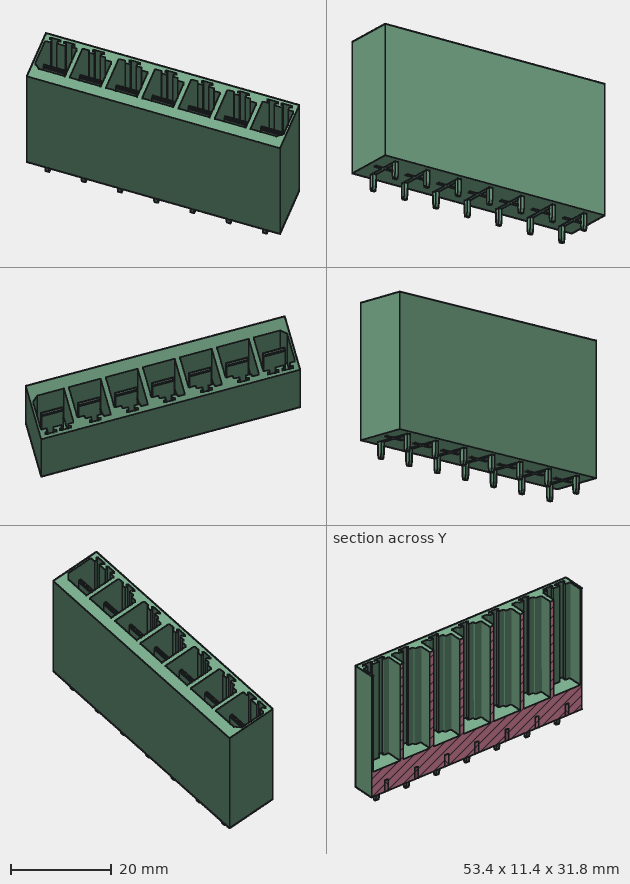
import cadquery as cq

HOUSING_LENGTH = 53.35
HOUSING_WIDTH = 11.4
HOUSING_HEIGHT = 28.3

POLE_COUNT = 7
POLE_PITCH = 7.65

CAVITY_WIDTH = 6.55
CAVITY_DEPTH = 22.4
CAVITY_FRONT = -3.15
CAVITY_BACK = 3.95
CORNER_RADIUS = 0.24

SHOULDER_Y = 3.3
SHOULDER_X = 1.8
POCKET_BACK = 4.5
POCKET_X = -1.8

OUTER_SHOULDER_Y = 3.8
INNER_SHOULDER_Y = 4.1
END_SLOT_OFFSET = 1.5
END_CHAMFER_X = 1.2
END_CHAMFER_Y = 1.0
END_INNER_SIDE = 3.35

SLOT_STEM_WIDTH = 1.3
SLOT_HEAD_WIDTH = 2.3
SLOT_HEAD_FRONT = 4.55
SLOT_HEAD_BACK = 4.95
SLOT_HEAD_RADIUS = 0.185

BLADE_WIDTH = 4.45
BLADE_THICKNESS = 0.75
BLADE_TIP_DEPTH = 2.85
BLADE_TIP_THICKNESS = 0.45
BLADE_TIP_TAPER = 0.3
FOOT_HEIGHT = 2.65
PIN_THICKNESS = 0.8
PIN_WIDTH = 0.95
PIN_SPACING = POLE_PITCH
PIN_LENGTH = 3.45
PIN_TIP_LENGTH = 0.95
PIN_TIP_WIDTH = 0.55

CAVITY_FLOOR = HOUSING_HEIGHT - CAVITY_DEPTH
CAVITY_SIDE = CAVITY_WIDTH / 2
POLE_POSITIONS = [(i - (POLE_COUNT - 1) / 2) * POLE_PITCH for i in range(POLE_COUNT)]


def cavity_prism(points):
    """Prism over an XY outline, from the cavity floor to the housing top."""
    return cq.Workplane("XY").workplane(offset=CAVITY_FLOOR).polyline(points).close().extrude(CAVITY_DEPTH)


def cavity_block(x_min, x_max, y_min, y_max):
    """Rectangular prism of cavity depth."""
    return cavity_prism([(x_min, y_min), (x_max, y_min), (x_max, y_max), (x_min, y_max)])


def round_corners(prism, corners):
    """Round the vertical edge of a prism nearest to each (x, y) corner."""
    for x, y in corners:
        corner = cq.selectors.NearestToPointSelector((x, y, CAVITY_FLOOR + CAVITY_DEPTH / 2))
        prism = prism.edges("|Z").edges(corner).fillet(CORNER_RADIUS)
    return prism


def t_slot(x):
    """T-shaped keyway centred on x, reaching into the back wall."""
    stem = cavity_block(x - SLOT_STEM_WIDTH / 2, x + SLOT_STEM_WIDTH / 2, SHOULDER_Y, SLOT_HEAD_BACK)
    head = cavity_block(x - SLOT_HEAD_WIDTH / 2, x + SLOT_HEAD_WIDTH / 2, SLOT_HEAD_FRONT, SLOT_HEAD_BACK)
    return stem.union(head.edges("|Z").fillet(SLOT_HEAD_RADIUS))


def inner_cavity():
    """Cavity with a coding pocket, one central T-slot and a low shoulder."""
    room = cavity_prism([
        (-CAVITY_SIDE, CAVITY_FRONT),
        (CAVITY_SIDE, CAVITY_FRONT),
        (CAVITY_SIDE, SHOULDER_Y),
        (SHOULDER_X, SHOULDER_Y),
        (SHOULDER_X, CAVITY_BACK),
        (POCKET_X, CAVITY_BACK),
        (POCKET_X, POCKET_BACK),
        (-CAVITY_SIDE, POCKET_BACK),
    ])
    rounded_corners = [
        (CAVITY_SIDE, SHOULDER_Y),
        (SHOULDER_X, SHOULDER_Y),
        (SHOULDER_X, CAVITY_BACK),
        (POCKET_X, CAVITY_BACK),
        (POCKET_X, POCKET_BACK),
        (-CAVITY_SIDE, POCKET_BACK),
    ]
    return round_corners(room.union(t_slot(0)), rounded_corners)


def left_end_cavity():
    """Cavity at the -X end; the +X end uses its mirror image."""
    room = cavity_prism([
        (-CAVITY_SIDE + END_CHAMFER_X, CAVITY_FRONT),
        (END_INNER_SIDE, CAVITY_FRONT),
        (END_INNER_SIDE, INNER_SHOULDER_Y),
        (END_SLOT_OFFSET, INNER_SHOULDER_Y),
        (END_SLOT_OFFSET, CAVITY_BACK),
        (-END_SLOT_OFFSET, CAVITY_BACK),
        (-END_SLOT_OFFSET, OUTER_SHOULDER_Y),
        (-CAVITY_SIDE, OUTER_SHOULDER_Y),
        (-CAVITY_SIDE, CAVITY_FRONT + END_CHAMFER_Y),
    ])
    room = room.union(t_slot(-END_SLOT_OFFSET)).union(t_slot(END_SLOT_OFFSET))
    rounded_corners = [
        (END_INNER_SIDE, INNER_SHOULDER_Y),
        (END_SLOT_OFFSET + SLOT_STEM_WIDTH / 2, INNER_SHOULDER_Y),
        (-CAVITY_SIDE, OUTER_SHOULDER_Y),
    ]
    return round_corners(room, rounded_corners)


def solder_pin():
    """Pin below the housing at the -Y side, tapered in Y towards its tip."""
    half = PIN_WIDTH / 2
    tip_half = PIN_TIP_WIDTH / 2
    taper_start = PIN_TIP_LENGTH - PIN_LENGTH
    outline = [
        (-half, 0),
        (-half, taper_start),
        (-tip_half, -PIN_LENGTH),
        (tip_half, -PIN_LENGTH),
        (half, taper_start),
        (half, 0),
    ]
    pin = cq.Workplane("YZ").polyline(outline).close().extrude(PIN_THICKNESS / 2, both=True)
    return pin.translate((0, -PIN_SPACING / 2, 0))


def blade():
    """Upright blade from the housing underside, its tip tapered in Y."""
    half = BLADE_THICKNESS / 2
    tip_half = BLADE_TIP_THICKNESS / 2
    tip_height = HOUSING_HEIGHT - BLADE_TIP_DEPTH
    taper_start = tip_height - BLADE_TIP_TAPER
    outline = [
        (-half, 0),
        (-half, taper_start),
        (-tip_half, tip_height),
        (tip_half, tip_height),
        (half, taper_start),
        (half, 0),
    ]
    return cq.Workplane("YZ").polyline(outline).close().extrude(BLADE_WIDTH / 2, both=True)


def contact():
    """Contact of one pole, centred on X = 0."""
    foot_width = PIN_SPACING + PIN_WIDTH
    on_base = (True, True, False)
    foot = cq.Workplane("XY").box(PIN_THICKNESS, foot_width, FOOT_HEIGHT, centered=on_base)
    pin = solder_pin()
    return blade().union(foot).union(pin).union(pin.mirror("XZ"))


def housing(contacts):
    """Block with one cavity per pole and matching seats for the contacts."""
    body = cq.Workplane("XY").box(
        HOUSING_LENGTH, HOUSING_WIDTH, HOUSING_HEIGHT, centered=(True, True, False)
    )
    left_end = left_end_cavity()
    cavities = [left_end] + [inner_cavity()] * (POLE_COUNT - 2) + [left_end.mirror("YZ")]
    for cavity, x in zip(cavities, POLE_POSITIONS):
        body = body.cut(cavity.translate((x, 0, 0)))
    for seat in contacts:
        body = body.cut(seat)
    return body


contacts = [contact().translate((x, 0, 0)) for x in POLE_POSITIONS]
header = housing(contacts)

result = cq.Compound.makeCompound([header.val(), *[pole.val() for pole in contacts]])